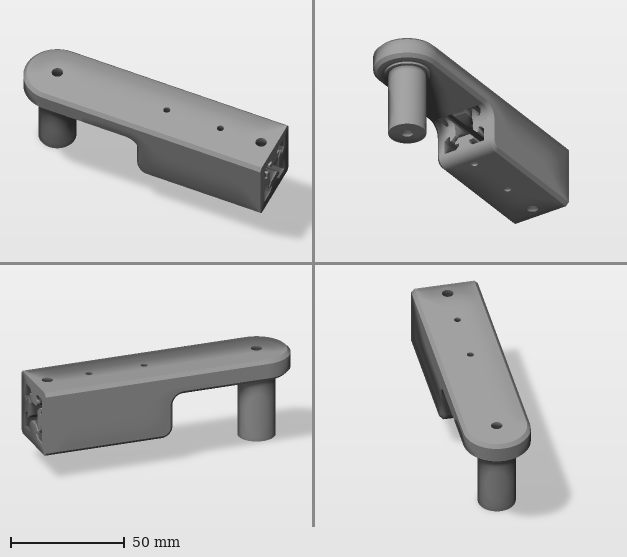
import cadquery as cq


length = 120
width = 30
block_height = width
arm_thickness = width / 3
block_start = 59.8
corner_radius = 5.0
edge_chamfer = 1.5

pivot_x = width / 2
peg_diameter = 16.8
peg_bottom_depth = 41.0
flange_diameter = 20.2
flange_thickness = 1.0

socket_size = 20.9
socket_start = block_start - corner_radius
socket_length = length - socket_start
rib_base_width = 8.6
rib_flank = 1.7
rib_neck_width = rib_base_width - 2 * rib_flank
rib_head_width = 9.8
rib_head_start = 2.9
rib_shoulder = 3.8
rib_head_taper = 1.9

bolt_diameter = 5.0
bolt_positions = (pivot_x, 113.5)
screw_diameter = 3.1
screw_positions = (67.9, 93.8)


def box_around(x, half_length, bottom, top):
    """Selector for whatever is centred near x, between two heights, across the full width."""
    return cq.selectors.BoxSelector((x - half_length, -width, bottom), (x + half_length, width, top))


def arm_and_block():
    """Round-ended arm that steps down into a square block, with its outline edges chamfered."""
    side = (
        cq.Workplane("XZ")
        .lineTo(length, 0)
        .lineTo(length, -block_height)
        .lineTo(block_start, -block_height)
        .lineTo(block_start, -arm_thickness)
        .lineTo(0, -arm_thickness)
        .close()
        .extrude(width / 2, both=True)
    )
    step_corners = box_around(block_start, 1.2, -block_height - 1.2, -arm_thickness + 1.2)
    side = side.edges("|Y").edges(step_corners).fillet(corner_radius)

    plan = (
        cq.Workplane("XY")
        .moveTo(length, -width / 2)
        .lineTo(pivot_x, -width / 2)
        .threePointArc((0, 0), (pivot_x, width / 2))
        .lineTo(length, width / 2)
        .close()
        .extrude(-block_height)
    )
    body = side.intersect(plan)

    seams = box_around(pivot_x, 0.1, -arm_thickness, 0)
    flat_end = cq.StringSyntaxSelector(">X")
    outline = cq.StringSyntaxSelector("<Y or >Y or <X") - seams - flat_end
    return body.edges(outline).chamfer(edge_chamfer)


def socket():
    """Socket cavity, open at both ends of the block, less the four ribs left standing in it."""
    axis_z = -block_height / 2
    section = cq.Workplane("YZ", origin=(socket_start, 0, axis_z))
    cavity = section.rect(socket_size, socket_size).extrude(socket_length)

    floor = -socket_size / 2
    right_half = [
        (rib_base_width / 2, floor),
        (rib_neck_width / 2, floor + rib_flank),
        (rib_neck_width / 2, floor + rib_head_start),
        (rib_head_width / 2, floor + rib_head_start),
        (rib_head_width / 2, floor + rib_shoulder),
        (rib_head_width / 2 - rib_head_taper, floor + rib_shoulder + rib_head_taper),
    ]
    left_half = [(-y, z) for y, z in reversed(right_half)]
    rib = section.polyline(right_half + left_half).close().extrude(socket_length)

    for angle in (0, 90, 180, 270):
        cavity = cavity.cut(rib.rotate((0, 0, axis_z), (1, 0, axis_z), angle))
    return cavity


def peg():
    """Pivot peg with a thin flange against the underside of the arm."""
    overlap_start = -arm_thickness / 2
    flange_bottom = -arm_thickness - flange_thickness
    base = cq.Workplane("XY", origin=(pivot_x, 0, overlap_start))
    flange = base.circle(flange_diameter / 2).extrude(flange_bottom - overlap_start)
    pin = base.circle(peg_diameter / 2).extrude(-peg_bottom_depth - overlap_start)
    return flange.union(pin)


def through_holes(positions, diameter):
    """Vertical hole cutters along the centre line, deep enough to leave the peg."""
    centres = [(x, 0) for x in positions]
    return cq.Workplane("XY").pushPoints(centres).circle(diameter / 2).extrude(-peg_bottom_depth)


result = (
    arm_and_block()
    .cut(socket())
    .union(peg())
    .cut(through_holes(bolt_positions, bolt_diameter))
    .cut(through_holes(screw_positions, screw_diameter))
)